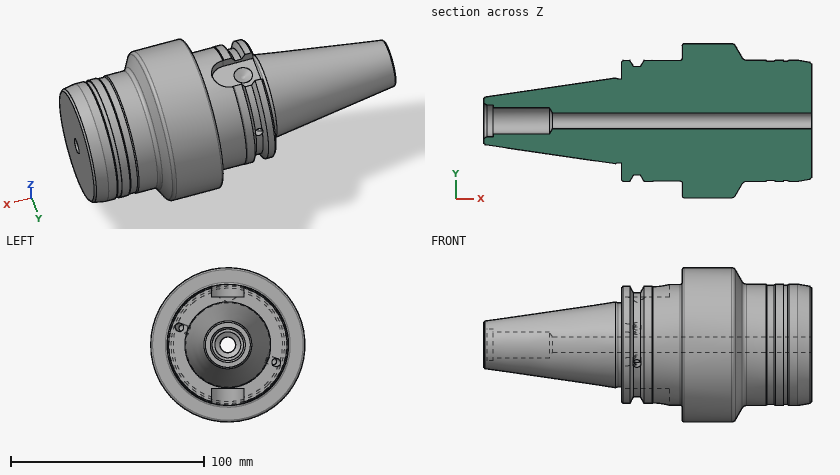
import cadquery as cq
import math

TOTAL_LENGTH = 169.8

TAPER_END = 68.1
TAPER_RADIUS = 22.3
TAPER_SLOPE = 7 / 48
SHANK_TIP_CHAMFER = 0.7
NECK_RADIUS = 43.7 / 2
NECK_START = 69.6
tip_radius = TAPER_RADIUS - TAPER_SLOPE * TAPER_END

BODY_RADIUS = 63.0 / 2
FLANGE_FACE = 71.3
FLANGE_CHAMFER = 0.8
GROOVE_CENTER = 79.3
GROOVE_FLOOR_WIDTH = 3.5
GROOVE_DEPTH = 3.2
GROOVE_ANGLE = 60
FLANGE_END = 87.1
FLANGE_STEP_LENGTH = 0.5
BODY_STEP = 0.2
groove_floor_radius = BODY_RADIUS - GROOVE_DEPTH
groove_floor_start = GROOVE_CENTER - GROOVE_FLOOR_WIDTH / 2
groove_floor_end = GROOVE_CENTER + GROOVE_FLOOR_WIDTH / 2
groove_flank = GROOVE_DEPTH / math.tan(math.radians(GROOVE_ANGLE))

COLLAR_RADIUS = 80.0 / 2
COLLAR_START = 102.8
COLLAR_FILLET = 1.0
COLLAR_ROOT_FILLET = 1.0
SHOULDER_ANGLE = 60
SHOULDER_START = 130.3
RIM_FILLET = 2.2
NOSE_FILLET = 2.5

RECESS_RADIUS = 62.0 / 2
RECESS_RAMP = 0.7
FIRST_RECESS = (146.0, 151.0)
SECOND_RECESS = (155.2, 158.0)
NOSE_TAPER_START = 162.5
NOSE_END_RADIUS = 30.4
NOSE_END_CHAMFER = 1.0

THREAD_DIAMETER = 16.3
MOUTH_DIAMETER = 18.2
MOUTH_CHAMFER = 1.7
THREAD_DEPTH = 5.0
INNER_DIAMETER = 13.5
INNER_DEPTH = 34.0
COOLANT_DIAMETER = 8.0
DRILL_POINT_ANGLE = 118

SLOT_WIDTH = 17.0
SLOT_END = 96.1
TOP_SLOT_FLOOR = 24.8
BOTTOM_SLOT_FLOOR = 22.6
DIMPLE_DIAMETER = 9.5

PORT_TILT = 20
PORT_FACE_RADIUS = 26.7
PORT_FLOOR_RADIUS = 21.2
PORT_DIAMETER = 4.2
PORT_SLANT = 20


def turned_body():
    angle = math.radians(SHOULDER_ANGLE)
    rim_center_x = SHOULDER_START - RIM_FILLET * math.sin(angle)
    rim_center_r = COLLAR_RADIUS - RIM_FILLET
    rim_end_r = rim_center_r + RIM_FILLET * math.cos(angle)
    half_angle = angle / 2
    rim_mid = (
        rim_center_x + RIM_FILLET * math.sin(half_angle),
        rim_center_r + RIM_FILLET * math.cos(half_angle),
    )

    fillet_center_r = BODY_RADIUS + NOSE_FILLET
    fillet_start_r = fillet_center_r - NOSE_FILLET * math.cos(angle)
    fillet_start_x = SHOULDER_START + (rim_end_r - fillet_start_r) / math.tan(angle)
    fillet_center_x = fillet_start_x + NOSE_FILLET * math.sin(angle)
    fillet_mid = (
        fillet_center_x - NOSE_FILLET * math.sin(half_angle),
        fillet_center_r - NOSE_FILLET * math.cos(half_angle),
    )
    front_radius = BODY_RADIUS - BODY_STEP

    profile = (
        cq.Workplane("XY")
        .moveTo(0, 0)
        .lineTo(0, tip_radius - SHANK_TIP_CHAMFER)
        .lineTo(SHANK_TIP_CHAMFER, tip_radius + TAPER_SLOPE * SHANK_TIP_CHAMFER)
        .lineTo(TAPER_END, TAPER_RADIUS)
        .lineTo(NECK_START, NECK_RADIUS)
        .lineTo(FLANGE_FACE, NECK_RADIUS)
        .lineTo(FLANGE_FACE, BODY_RADIUS - FLANGE_CHAMFER)
        .lineTo(FLANGE_FACE + FLANGE_CHAMFER, BODY_RADIUS)
        .lineTo(groove_floor_start - groove_flank, BODY_RADIUS)
        .lineTo(groove_floor_start, groove_floor_radius)
        .lineTo(groove_floor_end, groove_floor_radius)
        .lineTo(groove_floor_end + groove_flank, BODY_RADIUS)
        .lineTo(FLANGE_END, BODY_RADIUS)
        .lineTo(FLANGE_END + FLANGE_STEP_LENGTH, front_radius)
        .lineTo(COLLAR_START - COLLAR_ROOT_FILLET, front_radius)
        .radiusArc((COLLAR_START, front_radius + COLLAR_ROOT_FILLET), -COLLAR_ROOT_FILLET)
        .lineTo(COLLAR_START, COLLAR_RADIUS - COLLAR_FILLET)
        .radiusArc((COLLAR_START + COLLAR_FILLET, COLLAR_RADIUS), COLLAR_FILLET)
        .lineTo(rim_center_x, COLLAR_RADIUS)
        .threePointArc(rim_mid, (SHOULDER_START, rim_end_r))
        .lineTo(fillet_start_x, fillet_start_r)
        .threePointArc(fillet_mid, (fillet_center_x, BODY_RADIUS))
        .lineTo(FIRST_RECESS[0], BODY_RADIUS)
        .lineTo(FIRST_RECESS[0] + RECESS_RAMP, RECESS_RADIUS)
        .lineTo(FIRST_RECESS[1] - RECESS_RAMP, RECESS_RADIUS)
        .lineTo(FIRST_RECESS[1], BODY_RADIUS)
        .lineTo(SECOND_RECESS[0], BODY_RADIUS)
        .lineTo(SECOND_RECESS[0], RECESS_RADIUS)
        .lineTo(SECOND_RECESS[1] - RECESS_RAMP, RECESS_RADIUS)
        .lineTo(SECOND_RECESS[1], BODY_RADIUS)
        .lineTo(NOSE_TAPER_START, BODY_RADIUS)
        .lineTo(TOTAL_LENGTH - NOSE_END_CHAMFER, NOSE_END_RADIUS)
        .lineTo(TOTAL_LENGTH, NOSE_END_RADIUS - NOSE_END_CHAMFER)
        .lineTo(TOTAL_LENGTH, 0)
        .close()
    )
    return profile.revolve(360, (0, 0, 0), (1, 0, 0))


def bore():
    point_length = (INNER_DIAMETER - COOLANT_DIAMETER) / 2 / math.tan(math.radians(DRILL_POINT_ANGLE / 2))
    profile = (
        cq.Workplane("XY")
        .moveTo(0, 0)
        .lineTo(0, MOUTH_DIAMETER / 2)
        .lineTo(MOUTH_CHAMFER, THREAD_DIAMETER / 2)
        .lineTo(THREAD_DEPTH, THREAD_DIAMETER / 2)
        .lineTo(THREAD_DEPTH, INNER_DIAMETER / 2)
        .lineTo(INNER_DEPTH, INNER_DIAMETER / 2)
        .lineTo(INNER_DEPTH + point_length, COOLANT_DIAMETER / 2)
        .lineTo(TOTAL_LENGTH, COOLANT_DIAMETER / 2)
        .lineTo(TOTAL_LENGTH, 0)
        .close()
    )
    return profile.revolve(360, (0, 0, 0), (1, 0, 0))


def drive_slot(floor):
    """Round-ended slot open at the flange face, cut outward from the given height above the axis."""
    arc_center = SLOT_END - SLOT_WIDTH / 2
    height = COLLAR_RADIUS - floor
    return (
        cq.Workplane("XY", origin=(0, 0, floor))
        .moveTo(FLANGE_FACE, -SLOT_WIDTH / 2)
        .lineTo(arc_center, -SLOT_WIDTH / 2)
        .threePointArc((SLOT_END, 0), (arc_center, SLOT_WIDTH / 2))
        .lineTo(FLANGE_FACE, SLOT_WIDTH / 2)
        .close()
        .extrude(height)
    )


def slot_dimple():
    radius = DIMPLE_DIAMETER / 2
    depth = radius / math.tan(math.radians(DRILL_POINT_ANGLE / 2))
    cone = cq.Solid.makeCone(
        radius, 0, depth, cq.Vector(GROOVE_CENTER, 0, TOP_SLOT_FLOOR), cq.Vector(0, 0, -1)
    )
    return cq.Workplane(cone)


def coolant_port():
    """Radial hole from the groove, fed by a hole slanting inward from the flange face, on the +Y side."""
    slant = math.radians(PORT_SLANT)
    run = GROOVE_CENTER - FLANGE_FACE
    meeting_radius = PORT_FACE_RADIUS - run * math.tan(slant)
    inward = cq.Vector(math.cos(slant), -math.sin(slant), 0)
    length = run / math.cos(slant)
    start = cq.Vector(GROOVE_CENTER, meeting_radius, 0) - inward * (length + PORT_DIAMETER)
    slanted = cq.Solid.makeCylinder(PORT_DIAMETER / 2, length + PORT_DIAMETER, start, inward)
    radial = cq.Solid.makeCylinder(
        PORT_DIAMETER / 2,
        BODY_RADIUS - PORT_FLOOR_RADIUS,
        cq.Vector(GROOVE_CENTER, PORT_FLOOR_RADIUS, 0),
        cq.Vector(0, 1, 0),
    )
    port = cq.Workplane(slanted).union(cq.Workplane(radial))
    return port.rotate((0, 0, 0), (1, 0, 0), PORT_TILT)


result = turned_body().cut(bore())
result = result.cut(drive_slot(TOP_SLOT_FLOOR))
result = result.cut(drive_slot(BOTTOM_SLOT_FLOOR).rotate((0, 0, 0), (1, 0, 0), 180))
result = result.cut(slot_dimple())
for turn in (0, 180):
    result = result.cut(coolant_port().rotate((0, 0, 0), (1, 0, 0), turn))